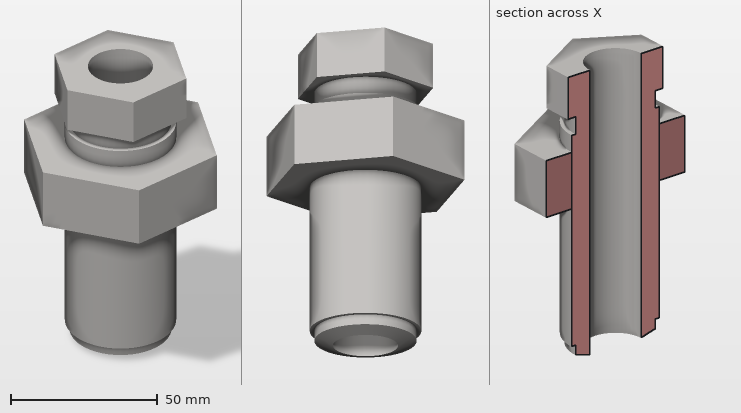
import cadquery as cq
import math

OVERALL_LENGTH = 106.86
HEAD_ACROSS_FLATS = 41.275
HEAD_HEIGHT = 15.875
NECK_LENGTH = 6.35
NECK_DIAMETER = 34.925
SHANK_DIAMETER = 38.1
HEAD_TO_SHANK_END = 101.6
BORE_DIAMETER = 22.225
TIP_CONE_ANGLE = 15.0

NUT_ACROSS_FLATS = 60.325
NUT_THICKNESS = 21.43
SHANK_ABOVE_NUT = 6.35

HEAD_TOP = OVERALL_LENGTH
HEAD_BOTTOM = HEAD_TOP - HEAD_HEIGHT
SHANK_TOP = HEAD_BOTTOM - NECK_LENGTH
SHANK_BOTTOM = HEAD_TOP - HEAD_TO_SHANK_END
NUT_TOP = SHANK_TOP - SHANK_ABOVE_NUT
NUT_BOTTOM = NUT_TOP - NUT_THICKNESS

NECK_RADIUS = NECK_DIAMETER / 2
SHANK_RADIUS = SHANK_DIAMETER / 2
BORE_RADIUS = BORE_DIAMETER / 2
TIP_CONE_HEIGHT = (NECK_RADIUS - BORE_RADIUS) * math.tan(math.radians(TIP_CONE_ANGLE))


def hex_prism(across_flats, bottom, height):
    """Hexagonal prism with two corners on the X axis."""
    across_corners = across_flats / math.cos(math.radians(30))
    return cq.Workplane("XY").workplane(offset=bottom).polygon(6, across_corners).extrude(height)


def cylinder(diameter, bottom, height):
    """Cylinder on the Z axis."""
    return cq.Workplane("XY").workplane(offset=bottom).circle(diameter / 2).extrude(height)


def make_gland_screw():
    """Turned stem joined to the hex head, with the bore through both."""
    stem_profile = [
        (BORE_RADIUS, 0),
        (NECK_RADIUS, TIP_CONE_HEIGHT),
        (NECK_RADIUS, SHANK_BOTTOM),
        (SHANK_RADIUS, SHANK_BOTTOM),
        (SHANK_RADIUS, SHANK_TOP),
        (NECK_RADIUS, SHANK_TOP),
        (NECK_RADIUS, HEAD_BOTTOM),
        (BORE_RADIUS, HEAD_BOTTOM),
    ]
    stem = cq.Workplane("XZ").polyline(stem_profile).close().revolve(360, (0, 0), (0, 1))
    head = hex_prism(HEAD_ACROSS_FLATS, HEAD_BOTTOM, HEAD_HEIGHT)
    head = head.cut(cylinder(BORE_DIAMETER, HEAD_BOTTOM, HEAD_HEIGHT))
    return stem.union(head)


def make_jam_nut():
    """Plain hex nut whose hole fits the shank."""
    nut = hex_prism(NUT_ACROSS_FLATS, NUT_BOTTOM, NUT_THICKNESS)
    return nut.cut(cylinder(SHANK_DIAMETER, NUT_BOTTOM, NUT_THICKNESS))


gland_screw = make_gland_screw()
jam_nut = make_jam_nut()

result = cq.Compound.makeCompound([*gland_screw.solids().vals(), *jam_nut.solids().vals()])